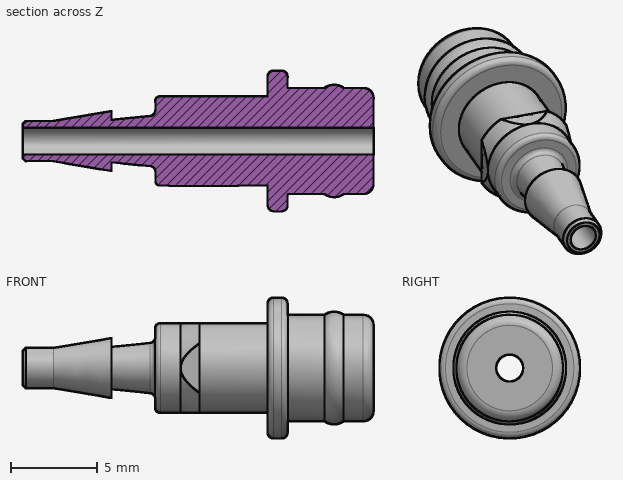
import cadquery as cq
import math

total_length = 20.4
bore_radius = 0.78

tip_radius = 1.18
tip_chamfer = 0.18
barb_start = 1.8
barb_end = 5.16
barb_radius = 1.75
neck_start_radius = 1.25
neck_end = 7.38
neck_end_radius = 1.47

collar_start = 7.7
collar_round = 0.3
body_radius = 2.61
flare_start = 9.18
flare_end = 10.26
flare_radius = 2.98

flange_start = 14.22
flange_width = 1.18
flange_radius = 4.1
flange_round = 0.37

plug_radius = 3.1
plug_round = 0.61
ring_center = 18.1
ring_width = 1.1
ring_radius = 3.28


def cylinder(start, end, radius):
    return cq.Workplane("YZ", origin=(start, 0, 0)).circle(radius).extrude(end - start)


def revolve_about_x(profile):
    return profile.close().revolve(360, (0, 0, 0), (1, 0, 0))


def make_hose_end():
    root_round = collar_start - neck_end
    rise = root_round * (1 - math.cos(math.pi / 4))
    run = root_round * math.sin(math.pi / 4)
    profile = (
        cq.Workplane("XY")
        .lineTo(0, tip_radius - tip_chamfer)
        .lineTo(tip_chamfer, tip_radius)
        .lineTo(barb_start, tip_radius)
        .lineTo(barb_end, barb_radius)
        .lineTo(barb_end, neck_start_radius)
        .lineTo(neck_end, neck_end_radius)
        .threePointArc((neck_end + run, neck_end_radius + rise),
                       (collar_start, neck_end_radius + root_round))
        .lineTo(collar_start, 0)
    )
    return revolve_about_x(profile)


def make_body():
    return cylinder(collar_start, flange_start, body_radius).faces("<X").edges().fillet(collar_round)


def make_flare():
    cone = revolve_about_x(
        cq.Workplane("XY")
        .moveTo(flare_start, 0)
        .lineTo(flare_start, body_radius)
        .lineTo(flare_end, flare_radius)
        .lineTo(flare_end, 0)
    )
    across_flats = 2 * body_radius
    square = (
        cq.Workplane("YZ", origin=(flare_start, 0, 0))
        .rect(across_flats, across_flats)
        .extrude(flare_end - flare_start)
    )
    return cone.intersect(square)


def make_flange():
    disc = cylinder(flange_start, flange_start + flange_width, flange_radius)
    return disc.edges().fillet(flange_round)


def make_plug():
    plug = cylinder(flange_start + flange_width, total_length, plug_radius)
    return plug.faces(">X").edges().fillet(plug_round)


def make_sealing_ring():
    half_width = ring_width / 2
    profile = (
        cq.Workplane("XY")
        .moveTo(ring_center - half_width, 0)
        .lineTo(ring_center - half_width, plug_radius)
        .threePointArc((ring_center, ring_radius), (ring_center + half_width, plug_radius))
        .lineTo(ring_center + half_width, 0)
    )
    return revolve_about_x(profile)


result = (
    make_hose_end()
    .union(make_body())
    .union(make_flare())
    .union(make_flange())
    .union(make_plug())
    .union(make_sealing_ring())
    .cut(cylinder(0, total_length, bore_radius))
)